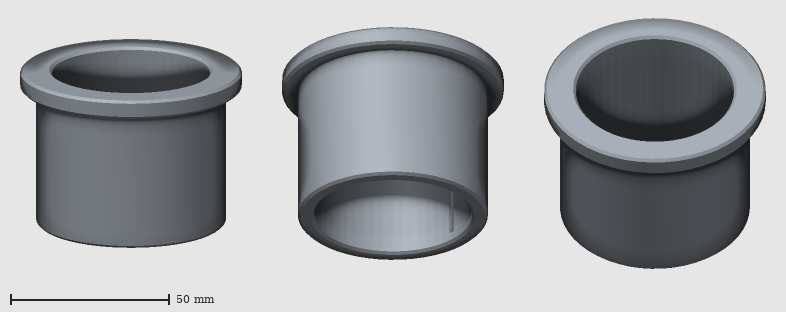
import cadquery as cq

flange_diameter = 70.0
body_diameter = 60.0
bore_diameter = 50.0
height = 50.0
flange_thickness = 6.0
edge_chamfer = 0.85
groove_diameter = 2.0
groove_end_margin = 3.5

body = cq.Workplane("XY").circle(body_diameter / 2).extrude(height)
body = body.faces("<Z").edges().chamfer(edge_chamfer)

flange = (
    cq.Workplane("XY", origin=(0, 0, height - flange_thickness))
    .circle(flange_diameter / 2)
    .extrude(flange_thickness)
    .edges()
    .chamfer(edge_chamfer)
)

bore = cq.Workplane("XY").circle(bore_diameter / 2).extrude(height)

result = body.union(flange).cut(bore)

bore_rims = cq.selectors.RadiusNthSelector(0)
result = result.edges(bore_rims).chamfer(edge_chamfer)

groove = (
    cq.Workplane("XY", origin=(bore_diameter / 2, 0, groove_end_margin))
    .circle(groove_diameter / 2)
    .extrude(height - 2 * groove_end_margin)
)
result = result.cut(groove)